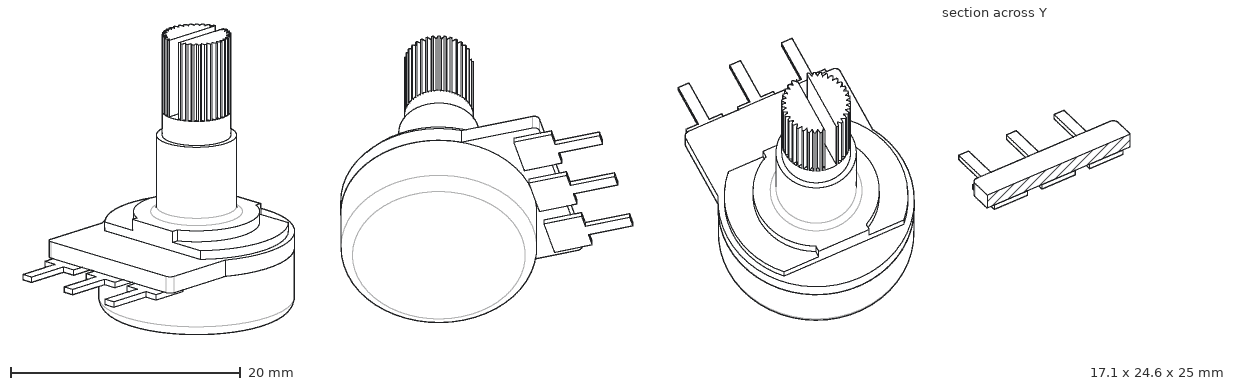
import cadquery as cq
import math

can_radius = 8.52
can_height = 5.5
can_bottom_fillet = 1.0

plate_radius = 8.55
plate_thickness = 1.5
board_width = 15.0
board_reach = 11.0
board_corner_radius = 0.5

flange_radius = 8.0
flange_thickness = 0.8
flat_distance = 5.5
boss_radius = flat_distance
boss_thickness = 1.0
key_width = 4.9

bushing_radius = 3.5
bushing_length = 7.0
bushing_fillet = 0.5
shaft_radius = 3.0
shaft_neck_length = 2.2
total_height = 25.0

knurl_root_radius = 2.65
tooth_count = 35
groove_width = 0.38
slot_width = 1.05

terminal_count = 3
terminal_pitch = 5.0
terminal_thickness = 0.5
terminal_clearance = 0.05
terminal_reach = 16.0
pin_width = 1.05
shoulder_width = 3.5
shoulder_reach = 12.0

plate_top = can_height + plate_thickness
flange_top = plate_top + flange_thickness
boss_top = flange_top + boss_thickness
bushing_top = boss_top + bushing_length
knurl_base = bushing_top + shaft_neck_length


def disc(radius, bottom, top):
    """Cylinder about the shaft axis between two heights."""
    return cq.Workplane("XY").workplane(offset=bottom).circle(radius).extrude(top - bottom)


def block(width, y_front, y_back, bottom, top):
    """Box centred on X between two Y positions and two heights."""
    base = cq.Workplane("XY").workplane(offset=bottom).center(0, (y_front + y_back) / 2)
    return base.rect(width, y_back - y_front).extrude(top - bottom)


def make_can():
    return disc(can_radius, 0, can_height).faces("<Z").edges().fillet(can_bottom_fillet)


def make_plate():
    board = block(board_width, -board_reach, 0, can_height, plate_top)
    board = board.edges("|Z and <Y").fillet(board_corner_radius)
    return disc(plate_radius, can_height, plate_top).union(board)


def make_flange():
    flats = block(2 * flange_radius, -flat_distance, flat_distance, plate_top, flange_top)
    return disc(flange_radius, plate_top, flange_top).intersect(flats)


def make_boss():
    key = block(key_width, -flat_distance, flat_distance, flange_top, boss_top)
    return disc(boss_radius, flange_top, boss_top).union(key)


def make_bushing():
    """Bushing with a concave fillet where it meets the boss."""
    foot_radius = bushing_radius + bushing_fillet
    arc_offset = bushing_fillet * (1 - math.sqrt(0.5))
    return (
        cq.Workplane("XZ")
        .moveTo(0, boss_top)
        .lineTo(foot_radius, boss_top)
        .threePointArc(
            (bushing_radius + arc_offset, boss_top + arc_offset),
            (bushing_radius, boss_top + bushing_fillet),
        )
        .lineTo(bushing_radius, bushing_top)
        .lineTo(0, bushing_top)
        .close()
        .revolve(360, (0, 0, 0), (0, 1, 0))
    )


def polar(radius, angle):
    """Point at a radius and an angle in radians about the shaft axis."""
    return radius * math.cos(angle), radius * math.sin(angle)


def make_knurl():
    """Shaft end with V grooves between its teeth, split by the driver slot."""
    half_groove = math.asin(groove_width / 2 / shaft_radius)
    pitch = 2 * math.pi / tooth_count
    half_tip = pitch / 2 - half_groove
    start = polar(knurl_root_radius, -pitch / 2)
    outline = cq.Workplane("XY").workplane(offset=knurl_base).moveTo(*start)
    for index in range(tooth_count):
        tip = index * pitch
        outline = (
            outline.lineTo(*polar(shaft_radius, tip - half_tip))
            .threePointArc(polar(shaft_radius, tip), polar(shaft_radius, tip + half_tip))
            .lineTo(*polar(knurl_root_radius, tip + pitch / 2))
        )
    teeth = outline.close().extrude(total_height - knurl_base)
    slot = block(slot_width, -shaft_radius, shaft_radius, knurl_base, total_height)
    return teeth.cut(slot)


def make_terminal(x_centre):
    """Flat pin with a wide shoulder, fixed under the board just clear of the can."""
    bottom = can_height - terminal_thickness
    y_back = -plate_radius - terminal_clearance
    shoulder = block(shoulder_width, -shoulder_reach, y_back, bottom, can_height)
    pin = block(pin_width, -terminal_reach, -shoulder_reach, bottom, can_height)
    return shoulder.union(pin).translate((x_centre, 0, 0))


result = (
    make_can()
    .union(make_plate())
    .union(make_flange())
    .union(make_boss())
    .union(make_bushing())
    .union(disc(shaft_radius, bushing_top, knurl_base))
    .union(make_knurl())
)
first_terminal_x = -(terminal_count - 1) / 2 * terminal_pitch
for index in range(terminal_count):
    result = result.union(make_terminal(first_terminal_x + index * terminal_pitch))